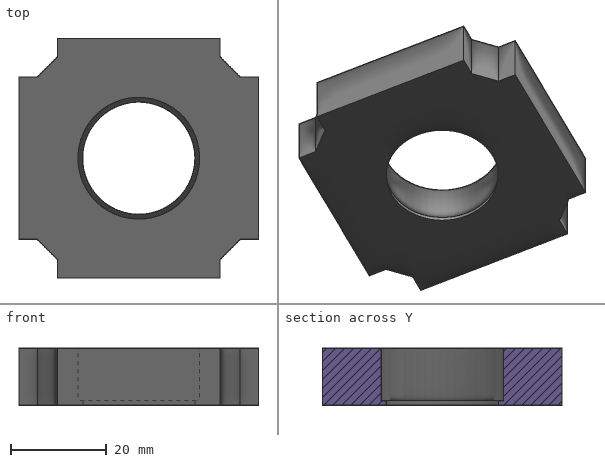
import cadquery as cq

side = 50.2
thickness = 12.0

notch_size = 8.1
notch_wall = 3.85

bore_diameter = 25.5
lip_diameter = 23.5
lip_height = 1.0


def corner_notch(x_sign, y_sign):
    """Full-height cutter for the plate corner in the given quadrant."""
    outer = side / 2
    inner = outer - notch_size
    wall_end = outer - notch_wall
    points = [
        (outer, outer),
        (outer, inner),
        (wall_end, inner),
        (inner, wall_end),
        (inner, outer),
    ]
    outline = [(x_sign * x, y_sign * y) for x, y in points]
    return cq.Workplane("XY").polyline(outline).close().extrude(thickness)


plate = cq.Workplane("XY").box(side, side, thickness, centered=(True, True, False))
for x_sign in (-1, 1):
    for y_sign in (-1, 1):
        plate = plate.cut(corner_notch(x_sign, y_sign))

through_hole = cq.Workplane("XY").circle(lip_diameter / 2).extrude(thickness)
bore = (
    cq.Workplane("XY")
    .workplane(offset=lip_height)
    .circle(bore_diameter / 2)
    .extrude(thickness - lip_height)
)

result = plate.cut(through_hole).cut(bore)